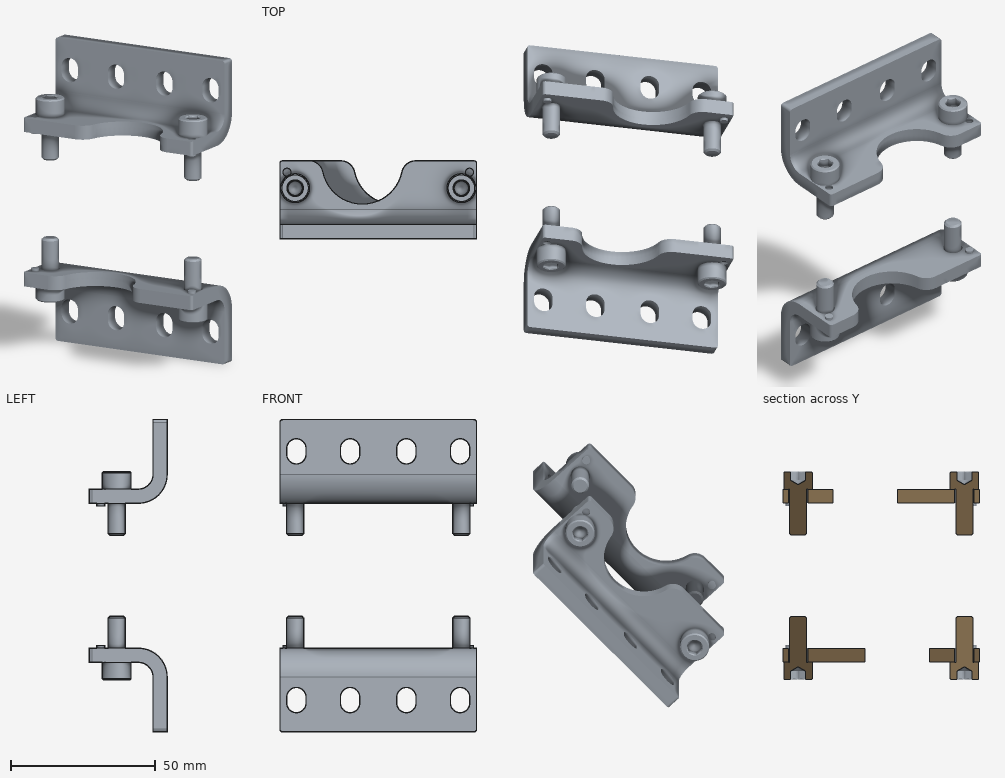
import cadquery as cq
import math


width = 68.0
foot_length = 27.0
overall_height = 108.0
bracket_gap = 50.0
thickness = 5.0
inner_bend_radius = 5.1
outer_bend_radius = inner_bend_radius + thickness
corner_radius = 1.0

foot_bottom = bracket_gap / 2
foot_top = foot_bottom + thickness
wall_top = overall_height / 2

slot_width = 6.6
slot_height = 8.6
slot_drop = 11.0
slot_offsets = [-28.3, -9.7, 9.7, 28.3]

notch_radius = 13.9
notch_lip_radius = 5.0
notch_x = -5.5
notch_depth = 15.0
notch_y = foot_length - notch_depth + notch_radius

stud_diameter = 2.8
stud_height = 1.0
stud_x = 31.5
stud_y = foot_length - 4.0

screw_x = 28.7
screw_y = foot_length - 9.5
shank_diameter = 6.0
shank_length = 16.0
shank_chamfer = 0.6
head_diameter = 10.0
head_height = 6.0
head_chamfer = 0.4
clearance_diameter = 6.6

socket_flats = 5.0
socket_corners = socket_flats / math.cos(math.radians(30))
socket_depth = 3.0
socket_tip_angle = 120.0
socket_tip_depth = socket_flats / 2 / math.tan(math.radians(socket_tip_angle / 2))

SIDES = (-1, 1)


def make_bent_sheet():
    """L-shaped sheet with a horizontal foot and a vertical wall, free corners rounded."""
    sheet = (
        cq.Workplane("YZ", origin=(-width / 2, 0, 0))
        .moveTo(foot_length, foot_bottom)
        .lineTo(outer_bend_radius, foot_bottom)
        .radiusArc((0, foot_bottom + outer_bend_radius), outer_bend_radius)
        .lineTo(0, wall_top)
        .lineTo(thickness, wall_top)
        .lineTo(thickness, foot_top + inner_bend_radius)
        .radiusArc((outer_bend_radius, foot_top), -inner_bend_radius)
        .lineTo(foot_length, foot_top)
        .close()
        .extrude(width)
    )
    sheet = sheet.faces(">Y").edges("|Z").fillet(corner_radius)
    return sheet.faces(">Z").edges("|Y").fillet(corner_radius)


def make_slots():
    """Upright round-ended slots through the wall."""
    return (
        cq.Workplane("XZ", origin=(0, 0, wall_top - slot_drop))
        .pushPoints([(x, 0) for x in slot_offsets])
        .slot2D(slot_height, slot_width, 90)
        .extrude(-thickness)
    )


def make_notch():
    """Circular notch that blends into the foot edge through two rounded lips."""
    lip_y = foot_length - notch_lip_radius
    center_distance = notch_radius + notch_lip_radius
    lip_offset = math.sqrt(center_distance**2 - (notch_y - lip_y) ** 2)
    share = notch_radius / center_distance
    tangent_x = lip_offset * share
    tangent_y = notch_y + (lip_y - notch_y) * share
    return (
        cq.Workplane("XY", origin=(notch_x, 0, foot_bottom))
        .moveTo(-lip_offset, foot_length)
        .radiusArc((-tangent_x, tangent_y), notch_lip_radius)
        .threePointArc((0, foot_length - notch_depth), (tangent_x, tangent_y))
        .radiusArc((lip_offset, foot_length), notch_lip_radius)
        .close()
        .extrude(thickness)
    )


def make_foot_discs(x, y, diameter, bottom, height):
    """Two cylinders standing at mirrored places on the foot."""
    return (
        cq.Workplane("XY", origin=(0, 0, bottom))
        .pushPoints([(side * x, y) for side in SIDES])
        .circle(diameter / 2)
        .extrude(height)
    )


def make_bracket():
    """Upper bracket with its wall pointing up."""
    screw_holes = make_foot_discs(screw_x, screw_y, clearance_diameter, foot_bottom, thickness)
    dimples = make_foot_discs(stud_x, stud_y, stud_diameter, foot_top - stud_height, stud_height)
    studs = make_foot_discs(stud_x, stud_y, stud_diameter, foot_bottom - stud_height, stud_height)
    bracket = make_bent_sheet().cut(make_slots()).cut(make_notch())
    return bracket.cut(screw_holes).cut(dimples).union(studs)


def make_screw():
    """Cap screw on the Z axis, with the underside of its head at Z = 0."""
    head = cq.Workplane("XY").circle(head_diameter / 2).extrude(head_height)
    head = head.faces(">Z").chamfer(head_chamfer)
    shank = cq.Workplane("XY").circle(shank_diameter / 2).extrude(-shank_length)
    shank = shank.faces("<Z").chamfer(shank_chamfer)
    return head.union(shank).cut(make_socket())


def make_socket():
    """Hexagonal socket with a conical bottom and a countersunk mouth."""
    hexagon = (
        cq.Workplane("XY", origin=(0, 0, head_height))
        .polygon(6, socket_corners)
        .extrude(-socket_depth)
        .rotate((0, 0, 0), (0, 0, 1), 30)
    )
    down = cq.Vector(0, 0, -1)
    mouth = cq.Solid.makeCone(
        socket_corners / 2, 0, socket_corners / 2, cq.Vector(0, 0, head_height), down
    )
    tip = cq.Solid.makeCone(
        socket_flats / 2, 0, socket_tip_depth, cq.Vector(0, 0, head_height - socket_depth), down
    )
    return hexagon.union(cq.Workplane(mouth)).union(cq.Workplane(tip))


def turn_over(body):
    """Half turn about the Y axis, which takes the upper assembly to the lower one."""
    return body.rotate((0, 0, 0), (0, 1, 0), 180)


upper_bracket = make_bracket()
lower_bracket = turn_over(upper_bracket)

screws = []
for side in SIDES:
    upper_screw = make_screw().translate((side * screw_x, screw_y, foot_top))
    screws.append(upper_screw.val())
    screws.append(turn_over(upper_screw).val())

result = cq.Compound.makeCompound([upper_bracket.val(), lower_bracket.val(), *screws])